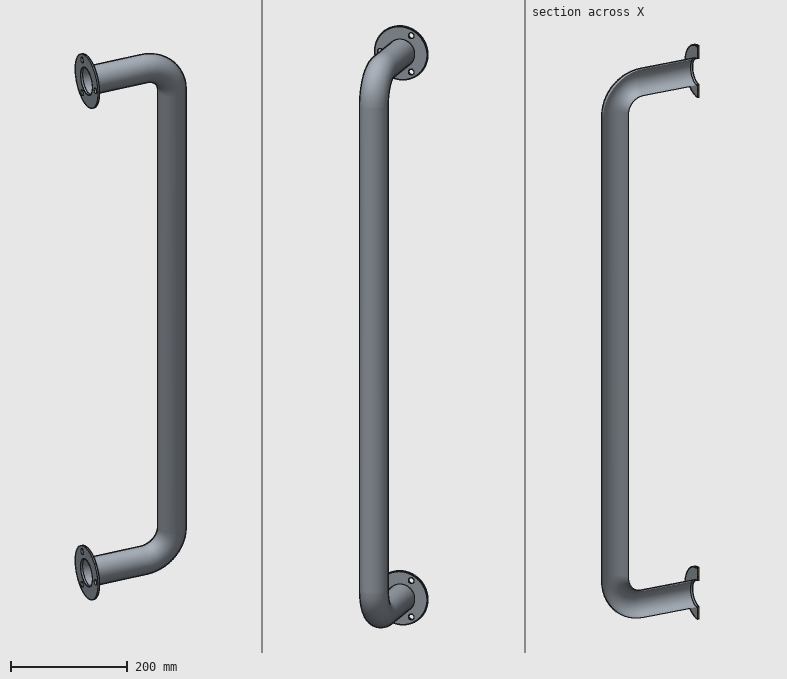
import cadquery as cq

overall_height = 1057.0
overall_depth = 185.0

flange_diameter = 95.0
flange_thickness = 4.0
flange_chamfer = 1.0
screw_hole_diameter = 10.0
screw_circle_radius = 37.0
screw_count = 3

tube_outer_diameter = 50.0
tube_inner_diameter = 49.0
bend_radius = 53.0

leg_height = (overall_height - flange_diameter) / 2
grip_y = overall_depth - tube_outer_diameter / 2


def handle_path():
    """Centerline running from the lower flange face to the upper one."""
    bend_y = grip_y - bend_radius
    bend_z = leg_height - bend_radius
    return (
        cq.Workplane("YZ")
        .moveTo(0, -leg_height)
        .lineTo(bend_y, -leg_height)
        .tangentArcPoint((grip_y, -bend_z), relative=False)
        .lineTo(grip_y, bend_z)
        .tangentArcPoint((bend_y, leg_height), relative=False)
        .lineTo(0, leg_height)
    )


def make_tube():
    """Thin-walled U-shaped tube, open at both flange faces."""
    return (
        cq.Workplane("XZ", origin=(0, 0, -leg_height))
        .circle(tube_outer_diameter / 2)
        .circle(tube_inner_diameter / 2)
        .sweep(handle_path())
    )


def make_flange(center_z):
    """Round flange, chamfered on its tube side, with a bore that fits the tube and a ring of screw holes."""
    disc = (
        cq.Workplane("XZ", origin=(0, 0, center_z))
        .circle(flange_diameter / 2)
        .extrude(-flange_thickness)
        .faces(">Y")
        .chamfer(flange_chamfer)
    )
    tube_bore = (
        cq.Workplane("XZ", origin=(0, 0, center_z))
        .circle(tube_outer_diameter / 2)
        .extrude(-flange_thickness)
    )
    screw_holes = (
        cq.Workplane("XZ", origin=(0, 0, center_z))
        .polarArray(screw_circle_radius, 0, 360, screw_count)
        .circle(screw_hole_diameter / 2)
        .extrude(-flange_thickness)
    )
    return disc.cut(tube_bore).cut(screw_holes)


tube = make_tube()
flanges = [make_flange(center_z) for center_z in (-leg_height, leg_height)]

result = cq.Compound.makeCompound([tube.val(), *[flange.val() for flange in flanges]])